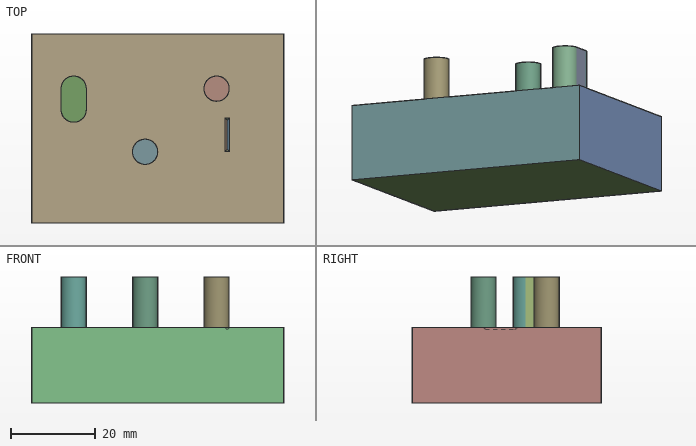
import cadquery as cq

base_length = 60
base_width = 45
base_height = 18

pin_diameter = 6
pin_height = 12
pin_spacing = 17.0
middle_pin_x = -3
middle_pin_y = -5.5
rear_pin_y = 9.5
oblong_pin_length = 11.0
oblong_pin_y = rear_pin_y - (oblong_pin_length - pin_diameter) / 2

groove_width = 1.0
groove_length = 8.0
groove_depth = groove_width / 2
groove_x = 16.5
groove_y = -1.5


def top_plane():
    return cq.Workplane("XY").workplane(offset=base_height)


base = cq.Workplane("XY").box(base_length, base_width, base_height, centered=(True, True, False))

round_pins = (
    top_plane()
    .pushPoints([
        (middle_pin_x, middle_pin_y),
        (middle_pin_x + pin_spacing, rear_pin_y),
    ])
    .circle(pin_diameter / 2)
    .extrude(pin_height)
)

oblong_pin = (
    top_plane()
    .center(middle_pin_x - pin_spacing, oblong_pin_y)
    .slot2D(oblong_pin_length, pin_diameter, 90)
    .extrude(pin_height)
)

half_width = groove_width / 2
half_length = groove_length / 2
groove_profile = (
    cq.Workplane("XZ")
    .polyline([(-half_width, 0), (half_width, 0), (0, -groove_depth)])
    .close()
    .extrude(half_length, both=True)
)
end_slopes = (
    cq.Workplane("YZ")
    .polyline([
        (-half_length, 0),
        (half_length, 0),
        (half_length - half_width, -groove_depth),
        (half_width - half_length, -groove_depth),
    ])
    .close()
    .extrude(half_width, both=True)
)
groove = groove_profile.intersect(end_slopes).translate((groove_x, groove_y, base_height))

result = base.union(round_pins).union(oblong_pin).cut(groove)